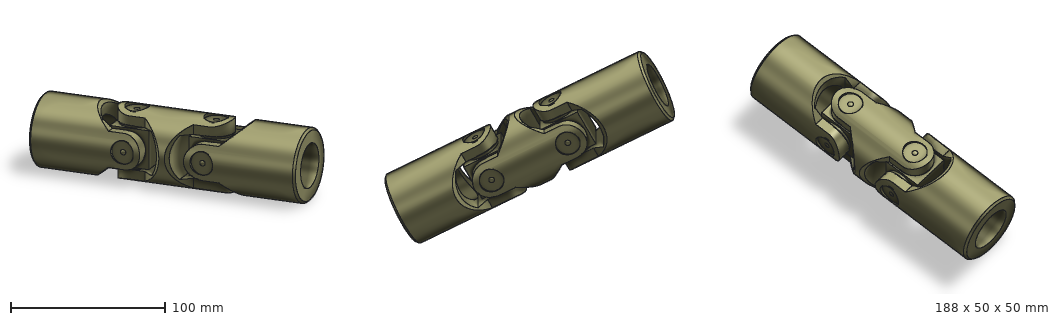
import cadquery as cq
import math


total_length = 188.0
body_diameter = 50.0
body_radius = body_diameter / 2
half_length = total_length / 2
end_chamfer = 1.5
bore_diameter = 30.0

pivot_offset = 28.0
arm_half_width = body_radius / 2
fork_gap = 30.0
fork_root_radius = 23.5
shoulder_start = 10.9
shoulder_angle = 39.5
shoulder_end = shoulder_start + (body_radius - arm_half_width) / math.tan(math.radians(shoulder_angle))

cross_length = 27.5
cross_width = 25.5
cross_height = 26.7
collar_diameter = 23.0
pin_diameter = 16.0
pin_span = 45.9
tip_diameter = 3.8
tip_height = 0.47
tip_sphere_radius = ((tip_diameter / 2) ** 2 + tip_height**2) / (2 * tip_height)


def arm_keeper(axis_plane):
    """Material kept for one fork: round-ended arms that widen towards -X, pivot at the origin."""
    far_end = -total_length
    return (
        cq.Workplane(axis_plane)
        .moveTo(far_end, body_radius)
        .lineTo(-shoulder_end, body_radius)
        .lineTo(-shoulder_start, arm_half_width)
        .lineTo(0, arm_half_width)
        .threePointArc((arm_half_width, 0), (0, -arm_half_width))
        .lineTo(-shoulder_start, -arm_half_width)
        .lineTo(-shoulder_end, -body_radius)
        .lineTo(far_end, -body_radius)
        .close()
        .extrude(body_radius, both=True)
    )


def gap_cutter(gap_plane):
    """Gap between the arms of one fork, with a rounded bottom towards -X, pivot at the origin."""
    gap_length = 2 * fork_root_radius
    root = cq.Workplane(gap_plane).circle(fork_root_radius).extrude(body_radius, both=True)
    mouth = cq.Workplane(gap_plane).rect(gap_length, fork_gap).extrude(body_radius, both=True)
    return root.intersect(mouth)


def shape_fork(body, pin_axis, pivot_x, faces_right):
    """Cut a fork with pins along pin_axis ("Y" or "Z") into one end of a round body."""
    if pin_axis == "Y":
        arm_plane, gap_plane = "XZ", "XY"
    else:
        arm_plane, gap_plane = "XY", "XZ"
    turn = 0 if faces_right else 180

    def place(shape):
        return shape.rotate((0, 0, 0), (0, 0, 1), turn).translate((pivot_x, 0, 0))

    pin_hole = cq.Workplane(arm_plane).circle(pin_diameter / 2).extrude(body_radius, both=True)
    return (
        body.intersect(place(arm_keeper(arm_plane)))
        .cut(place(gap_cutter(gap_plane)))
        .cut(place(pin_hole))
    )


def round_bar(start_x, end_x):
    """Solid round bar along the joint axis."""
    return cq.Workplane("YZ", origin=(start_x, 0, 0)).circle(body_radius).extrude(end_x - start_x)


def make_end_yoke(side):
    """Bored end yoke with its fork arms at +Y and -Y; side is -1 for the left end, +1 for the right."""
    fork_tip = pivot_offset - arm_half_width
    blank = round_bar(-half_length, -fork_tip).faces("<X").chamfer(end_chamfer)
    bore = cq.Workplane("YZ", origin=(-half_length, 0, 0)).circle(bore_diameter / 2)
    bored_blank = blank.cut(bore.extrude(half_length - pivot_offset))
    yoke = shape_fork(bored_blank, "Y", -pivot_offset, faces_right=True)
    if side > 0:
        yoke = yoke.rotate((0, 0, 0), (0, 0, 1), 180)
    return yoke


def make_middle_yoke():
    """Solid middle yoke with a fork at each end, arms at +Z and -Z."""
    fork_tip = pivot_offset + arm_half_width
    yoke = round_bar(-fork_tip, fork_tip)
    for side in (-1, 1):
        yoke = shape_fork(yoke, "Z", side * pivot_offset, faces_right=side > 0)
    return yoke


def make_cross(center_x):
    """Block with a collar and a pin on four sides; each pin end carries a small domed tip."""
    cross = cq.Workplane("XY").box(cross_length, cross_width, cross_height)
    tip_sphere_center = cq.Vector(0, 0, pin_span / 2 + tip_height - tip_sphere_radius)
    tip = cq.Solid.makeSphere(tip_sphere_radius, tip_sphere_center, angleDegrees1=0)
    for plane in ("XY", "XZ"):
        collar = cq.Workplane(plane).circle(collar_diameter / 2).extrude(fork_gap / 2, both=True)
        pin = cq.Workplane(plane).circle(pin_diameter / 2).extrude(pin_span / 2, both=True)
        cross = cross.union(collar).union(pin)
    for angle in (0, 90, 180, 270):
        cross = cross.union(cq.Workplane(tip.rotate(cq.Vector(0, 0, 0), cq.Vector(1, 0, 0), angle)))
    return cross.translate((center_x, 0, 0))


end_yokes = [make_end_yoke(side) for side in (-1, 1)]
crosses = [make_cross(side * pivot_offset) for side in (-1, 1)]
middle_yoke = make_middle_yoke()

result = cq.Compound.makeCompound(
    [*(yoke.val() for yoke in end_yokes), middle_yoke.val(), *(cross.val() for cross in crosses)]
)